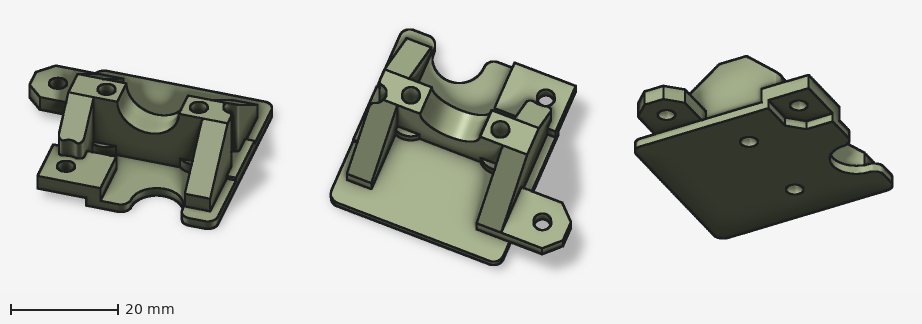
import cadquery as cq
import math

plate_top = 1.8
edge_step_top = 2.48
boss_top = 3.9
pad_top = 4.8
total_height = 14.5

tab_reach = 9.55
plate_width = 44.2 - tab_reach
plate_depth = 37.5
plate_corner_radius = 2.0
notch_x = 22.7
notch_radius = 5.0

relief_width = 9.55
relief_depth = 8.5
relief_chamfer = 2.95

hole_diameter = 3.3
pad_width = 12.35
pad_depth = 9.9
pad_hole = (4.25, 4.35)
tab_depth = 9.9
tab_back = 32.55
tab_chamfer = 2.95
tab_hole = (-4.6, tab_back - tab_depth / 2)

saddle_x = 17.25
saddle_radius = 6.0
wall_thickness = 4.95
wall_span = 31.15
wall_front = 3.1
wall_back = 32.55
web_front = 14.0
web_back = 19.75
left_wall_x = saddle_x - wall_span / 2
right_wall_x = saddle_x + wall_span / 2 - wall_thickness
right_wall_outer = right_wall_x + wall_thickness
bolt_spacing = 18.05
bolt_y = 17.0
boss_radius = 4.02

clearance_fillet = 0.97
pad_clearance_radius = 3.15
side_clearance_radius = 1.75
side_clearance_center = (32.3, 18.93)

edge_step_front = 13.35
edge_step_back = 24.9


def box(x_min, x_max, y_min, y_max, z_min, z_max):
    size = (x_max - x_min, y_max - y_min, z_max - z_min)
    return cq.Workplane("XY").box(*size, centered=False).translate((x_min, y_min, z_min))


def cylinder(center, radius, z_min, z_max):
    return cq.Workplane("XY", origin=(*center, z_min)).circle(radius).extrude(z_max - z_min)


def base_plate():
    r = plate_corner_radius
    diagonal = r * (1 - math.sqrt(0.5))
    notch_left = notch_x - notch_radius
    notch_right = notch_x + notch_radius
    return (
        cq.Workplane("XY")
        .moveTo(relief_width, 0)
        .lineTo(notch_left - r, 0)
        .threePointArc((notch_left - diagonal, diagonal), (notch_left, r))
        .threePointArc((notch_x, r + notch_radius), (notch_right, r))
        .threePointArc((notch_right + diagonal, diagonal), (notch_right + r, 0))
        .lineTo(plate_width - r, 0)
        .threePointArc((plate_width - diagonal, diagonal), (plate_width, r))
        .lineTo(plate_width, plate_depth - r)
        .threePointArc((plate_width - diagonal, plate_depth - diagonal), (plate_width - r, plate_depth))
        .lineTo(r, plate_depth)
        .threePointArc((diagonal, plate_depth - diagonal), (0, plate_depth - r))
        .lineTo(0, relief_depth)
        .lineTo(relief_width - relief_chamfer, relief_depth)
        .lineTo(relief_width, relief_depth - relief_chamfer)
        .close()
        .extrude(plate_top)
    )


def side_wall(x_min):
    profile = [
        (wall_front, plate_top),
        (wall_front, pad_top),
        (web_front, total_height),
        (web_back, total_height),
        (wall_back, pad_top),
        (wall_back, plate_top),
    ]
    return cq.Workplane("YZ", origin=(x_min, 0, 0)).polyline(profile).close().extrude(wall_thickness)


def left_wall():
    """Side wall cut short around the pad screw, with rounded front corners."""
    hole_x, hole_y = pad_hole
    wall_middle = left_wall_x + wall_thickness / 2
    corner_offset = wall_thickness / 2 - clearance_fillet
    center_distance = pad_clearance_radius + clearance_fillet
    corner_y = hole_y + math.sqrt(center_distance**2 - corner_offset**2)
    touch_offset = corner_offset * pad_clearance_radius / center_distance
    touch_y = hole_y + (corner_y - hole_y) * pad_clearance_radius / center_distance

    bottom_y = corner_y - clearance_fillet
    left_x = left_wall_x
    right_x = left_wall_x + wall_thickness
    footprint = (
        cq.Workplane("XY")
        .moveTo(left_x, wall_back)
        .lineTo(left_x, corner_y)
        .threePointArc((wall_middle - corner_offset, bottom_y), (wall_middle - touch_offset, touch_y))
        .threePointArc((wall_middle, hole_y + pad_clearance_radius), (wall_middle + touch_offset, touch_y))
        .threePointArc((wall_middle + corner_offset, bottom_y), (right_x, corner_y))
        .lineTo(right_x, wall_back)
        .close()
        .extrude(total_height)
    )
    return side_wall(left_wall_x).intersect(footprint)


def side_clearance():
    """Round bite in the outer face of the right wall, blended into that face."""
    center_x, center_y = side_clearance_center
    fillet_x = right_wall_outer - clearance_fillet
    center_distance = side_clearance_radius + clearance_fillet
    fillet_offset = math.sqrt(center_distance**2 - (center_x - fillet_x) ** 2)
    ratio = side_clearance_radius / center_distance
    touch_x = center_x + (fillet_x - center_x) * ratio
    touch_offset = fillet_offset * ratio

    angle = math.atan2(-fillet_offset, center_x - fillet_x) / 2
    middle_x = fillet_x + clearance_fillet * math.cos(angle)
    middle_offset = fillet_offset + clearance_fillet * math.sin(angle)
    return (
        cq.Workplane("XY", origin=(0, 0, edge_step_top))
        .moveTo(right_wall_outer, center_y + fillet_offset)
        .threePointArc((middle_x, center_y + middle_offset), (touch_x, center_y + touch_offset))
        .threePointArc((center_x - side_clearance_radius, center_y), (touch_x, center_y - touch_offset))
        .threePointArc((middle_x, center_y - middle_offset), (right_wall_outer, center_y - fillet_offset))
        .close()
        .extrude(total_height - edge_step_top)
    )


def mounting_tab():
    return (
        box(-tab_reach, left_wall_x + wall_thickness, tab_back - tab_depth, tab_back, plate_top, pad_top)
        .edges("|Z and <X")
        .chamfer(tab_chamfer)
    )


def saddle_web():
    web = box(left_wall_x, right_wall_outer, web_front, web_back, plate_top, total_height)
    bore = (
        cq.Workplane("XZ", origin=(saddle_x, web_back, total_height))
        .circle(saddle_radius)
        .extrude(web_back - web_front)
    )
    return web.cut(bore)


bolt_holes = [(saddle_x + side * bolt_spacing / 2, bolt_y) for side in (-1, 1)]

result = base_plate()
result = result.union(box(0, pad_width, 0, pad_depth, plate_top, pad_top))
result = result.union(mounting_tab())
result = result.union(left_wall()).union(side_wall(right_wall_x)).union(saddle_web())
result = result.union(
    box(right_wall_x, plate_width, edge_step_front, edge_step_back, plate_top, edge_step_top)
)
for center in bolt_holes:
    result = result.union(cylinder(center, boss_radius, plate_top, boss_top))

result = result.cut(side_clearance())
for center in bolt_holes + [pad_hole, tab_hole]:
    result = result.cut(cylinder(center, hole_diameter / 2, 0, total_height))